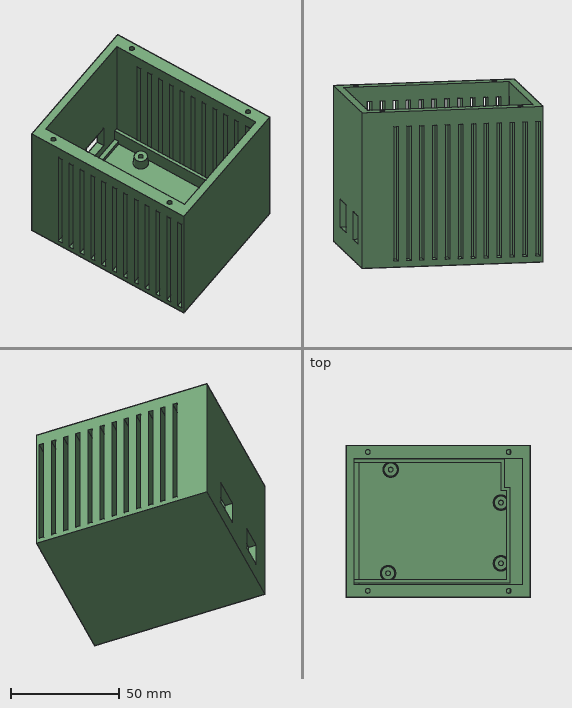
import cadquery as cq

length = 85.0
width = 70.0
height = 73.0

end_wall = 3.7
side_wall = 6.0
floor_thickness = 3.0

ledge_depth = 2.2
ledge_height = 2.0

rim_thickness = 1.5
rim_top = 11.2
rim_front = 6.7
rim_back = 63.75
rim_end = 75.6
rim_notch_end = 73.0
rim_notch_front = 50.75

standoff_base_radius = 3.6
standoff_top_radius = 3.1
standoff_height = 5.0
pilot_diameter = 2.2
standoff_centers = [(20.6, 58.9), (71.4, 43.7), (71.4, 15.7), (19.4, 11.1)]

window_bottom = 9.7
window_top = 22.7
window_spans = [(10.6, 21.85), (39.2, 53.3)]

slot_count = 12
slot_width = 2.1
slot_first_left = 14.9
slot_last_left = 81.5
slot_pitch = (slot_last_left - slot_first_left) / (slot_count - 1)
slot_top = 66.0
front_slot_depth = 5.0

screw_diameter = 2.2
screw_depth = 10.0
screw_end_offset = 10.0
screw_side_offset = side_wall / 2


def block(x_range, y_range, z_range):
    """Axis-aligned block given by its limits along X, Y and Z."""
    sizes = [high - low for low, high in (x_range, y_range, z_range)]
    corner = (x_range[0], y_range[0], z_range[0])
    return cq.Workplane("XY").box(*sizes, centered=False).translate(corner)


def make_shell():
    outer = block((0, length), (0, width), (0, height))
    cavity = block(
        (end_wall, length - end_wall),
        (side_wall, width - side_wall),
        (floor_thickness, height),
    )
    return outer.cut(cavity)


def rim_area(inset):
    """Solid under the rim outline, with its free sides moved inward by inset."""
    front = rim_front + inset
    back = rim_back - inset
    end = rim_end - inset
    notch_end = rim_notch_end - inset
    notch_front = rim_notch_front - inset
    outline = [
        (end_wall, front),
        (end, front),
        (end, notch_front),
        (notch_end, notch_front),
        (notch_end, back),
        (end_wall, back),
    ]
    base = cq.Workplane("XY").workplane(offset=floor_thickness)
    return base.polyline(outline).close().extrude(rim_top - floor_thickness)


def make_ledge():
    return block(
        (end_wall, end_wall + ledge_depth),
        (side_wall, width - side_wall),
        (floor_thickness, floor_thickness + ledge_height),
    )


def make_standoff(center):
    cone = cq.Solid.makeCone(standoff_base_radius, standoff_top_radius, standoff_height)
    pilot = cq.Solid.makeCylinder(pilot_diameter / 2, standoff_height)
    return cone.cut(pilot).translate(cq.Vector(*center, floor_thickness))


def cut_windows(body):
    for y_range in window_spans:
        body = body.cut(block((0, end_wall), y_range, (window_bottom, window_top)))
    return body


def cut_vent_slots(body):
    """Front slots stop inside the wall; back slots pass through it."""
    z_range = (floor_thickness, slot_top)
    for index in range(slot_count):
        left = slot_first_left + index * slot_pitch
        x_range = (left, left + slot_width)
        body = body.cut(block(x_range, (0, front_slot_depth), z_range))
        body = body.cut(block(x_range, (width - side_wall, width), z_range))
    return body


def cut_screw_holes(body):
    centers = [
        (x, y)
        for x in (screw_end_offset, length - screw_end_offset)
        for y in (screw_side_offset, width - screw_side_offset)
    ]
    top = cq.Workplane("XY").workplane(offset=height)
    return body.cut(top.pushPoints(centers).circle(screw_diameter / 2).extrude(-screw_depth))


result = make_shell()
result = cut_vent_slots(result)
result = cut_windows(result)
result = cut_screw_holes(result)
result = result.union(make_ledge())
result = result.union(rim_area(0).cut(rim_area(rim_thickness)))
for standoff_center in standoff_centers:
    result = result.union(make_standoff(standoff_center))